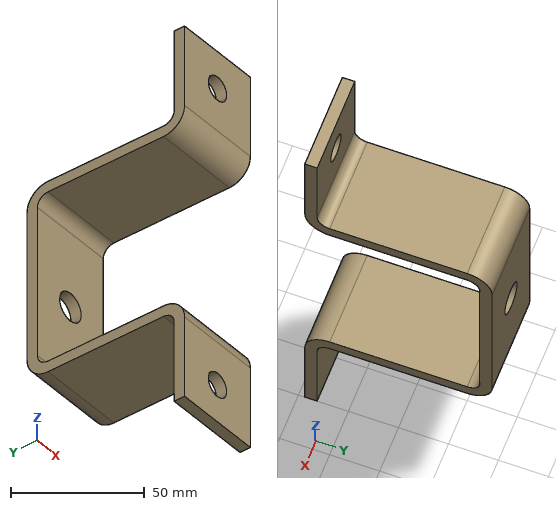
import cadquery as cq

WIDTH = 40.0
DEPTH = 75.0
HEIGHT = 175.0
CHANNEL_HEIGHT = 90.0
THICKNESS = 5.0
INNER_RADIUS = 5.0
FLANGE_HOLE_DIAMETER = 11.0
FLANGE_HOLE_SPACING = 140.0
WEB_HOLE_DIAMETER = 13.0

OUTER_RADIUS = INNER_RADIUS + THICKNESS
FRONT_Y = -DEPTH / 2
BACK_Y = DEPTH / 2
TOP_Z = HEIGHT / 2
ARM_OUTER_Z = CHANNEL_HEIGHT / 2
ARM_INNER_Z = ARM_OUTER_Z - THICKNESS
FLANGE_BACK_Y = FRONT_Y + THICKNESS
WEB_FRONT_Y = BACK_Y - THICKNESS


def make_strip():
    """Hat-shaped strip with sharp bends, extruded symmetrically along X."""
    return (
        cq.Workplane("YZ")
        .moveTo(FRONT_Y, TOP_Z)
        .lineTo(FLANGE_BACK_Y, TOP_Z)
        .lineTo(FLANGE_BACK_Y, ARM_OUTER_Z)
        .lineTo(BACK_Y, ARM_OUTER_Z)
        .lineTo(BACK_Y, -ARM_OUTER_Z)
        .lineTo(FLANGE_BACK_Y, -ARM_OUTER_Z)
        .lineTo(FLANGE_BACK_Y, -TOP_Z)
        .lineTo(FRONT_Y, -TOP_Z)
        .lineTo(FRONT_Y, -ARM_INNER_Z)
        .lineTo(WEB_FRONT_Y, -ARM_INNER_Z)
        .lineTo(WEB_FRONT_Y, ARM_INNER_Z)
        .lineTo(FRONT_Y, ARM_INNER_Z)
        .close()
        .extrude(WIDTH / 2, both=True)
    )


def round_corners(body, corners, radius):
    """Fillet the X-direction edges at the given (y, z) corners, above and below mid-height."""
    for y, z in corners:
        for side in (1, -1):
            edge = cq.selectors.NearestToPointSelector((0, y, side * z))
            body = body.edges("|X").edges(edge).fillet(radius)
    return body


def drill_along_y(body, z, diameter):
    """Drill a through hole along Y in the wall at height z, centred on the width."""
    drill = (
        cq.Workplane("XZ", origin=(0, 0, z))
        .circle(diameter / 2)
        .extrude(DEPTH, both=True)
    )
    return body.cut(drill)


bracket = make_strip()
bracket = round_corners(bracket, [(FLANGE_BACK_Y, ARM_OUTER_Z), (WEB_FRONT_Y, ARM_INNER_Z)], INNER_RADIUS)
bracket = round_corners(bracket, [(FRONT_Y, ARM_INNER_Z), (BACK_Y, ARM_OUTER_Z)], OUTER_RADIUS)

for side in (1, -1):
    bracket = drill_along_y(bracket, side * FLANGE_HOLE_SPACING / 2, FLANGE_HOLE_DIAMETER)
bracket = drill_along_y(bracket, 0, WEB_HOLE_DIAMETER)

result = bracket